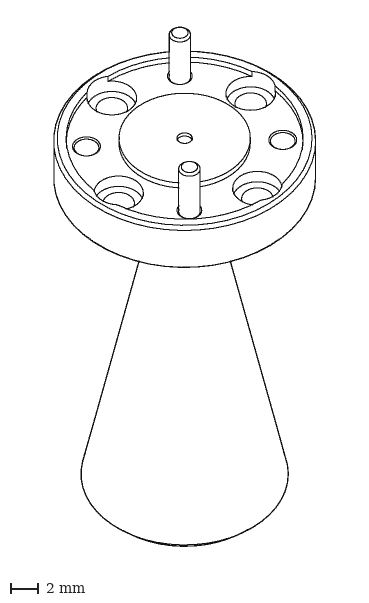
import cadquery as cq
import math

total_height = 38.15
flange_top = 34.35
flange_thickness = 4.2
flange_bottom = flange_top - flange_thickness

flange_diameter = 19.05
flange_chamfer = 0.25
rim_inner_diameter = 17.2
boss_diameter = 9.55
face_recess_depth = 0.5
recess_floor = flange_top - face_recess_depth
center_hole_diameter = 1.1
center_hole_depth = 0.3

hole_circle_diameter = 14.27
bolt_hole_diameter = 2.3
counterbore_diameter = 3.6
counterbore_depth = 1.53
alignment_hole_diameter = 1.8
hole_chamfer = 0.1
bolt_angles = (0, 90, 180, 270)
alignment_angles = (45, 225)
pin_angles = (135, 315)

pin_diameter = 1.55
pin_chamfer = 0.2

neck_diameter = 4.12
neck_length = 2.05
cone_top = flange_bottom - neck_length
cone_diameter = 15.07
cone_chamfer_height = 0.9
cone_end_diameter = 13.45


def circle_point(angle):
    """Point on the hole circle at an angle in degrees from +X."""
    radius = hole_circle_diameter / 2
    return radius * math.cos(math.radians(angle)), radius * math.sin(math.radians(angle))


def cylinder(diameter, bottom, top, center=(0, 0)):
    """Upright cylinder between two heights."""
    return cq.Workplane("XY", origin=(*center, bottom)).circle(diameter / 2).extrude(top - bottom)


def make_stem():
    """Neck and cone, with a bevel at the wide end."""
    outline = [
        (0, 0),
        (cone_end_diameter / 2, 0),
        (cone_diameter / 2, cone_chamfer_height),
        (neck_diameter / 2, cone_top),
        (neck_diameter / 2, flange_bottom),
        (0, flange_bottom),
    ]
    return cq.Workplane("XZ").polyline(outline).close().revolve(360, (0, 0), (0, 1))


def make_flange_blank():
    """Chamfered disc with a ring recess that leaves a rim and a central boss."""
    disc = cylinder(flange_diameter, flange_bottom, flange_top).edges().chamfer(flange_chamfer)
    recess = cylinder(rim_inner_diameter, recess_floor, flange_top)
    recess = recess.cut(cylinder(boss_diameter, recess_floor, flange_top))
    center_hole = cylinder(center_hole_diameter, flange_top - center_hole_depth, flange_top)
    return disc.cut(recess).cut(center_hole)


def make_bolt_hole(angle):
    """Through hole with a counterbore from the flange face."""
    center = circle_point(angle)
    hole = cylinder(bolt_hole_diameter, flange_bottom, flange_top, center)
    return hole.union(cylinder(counterbore_diameter, flange_top - counterbore_depth, flange_top, center))


def make_chamfered_hole(diameter, angle):
    """Through hole with a chamfered mouth at the recess floor."""
    center = circle_point(angle)
    hole = cylinder(diameter, flange_bottom, recess_floor, center)
    mouth = cq.Solid.makeCone(
        diameter / 2,
        diameter / 2 + hole_chamfer,
        hole_chamfer,
        pnt=cq.Vector(*center, recess_floor - hole_chamfer),
    )
    return hole.union(cq.Workplane(mouth))


def make_pin(angle):
    """Pin through the flange, chamfered at its free end."""
    pin = cylinder(pin_diameter, flange_bottom, total_height, circle_point(angle))
    return pin.faces(">Z").chamfer(pin_chamfer)


def make_housing():
    """Flange, neck and cone in one piece, with all of its holes."""
    body = make_flange_blank().union(make_stem())
    for angle in bolt_angles:
        body = body.cut(make_bolt_hole(angle))
    for angle in alignment_angles:
        body = body.cut(make_chamfered_hole(alignment_hole_diameter, angle))
    for angle in pin_angles:
        body = body.cut(make_chamfered_hole(pin_diameter, angle))
    return body


housing = make_housing()
pins = [make_pin(angle) for angle in pin_angles]

result = cq.Compound.makeCompound([housing.val(), *[pin.val() for pin in pins]])